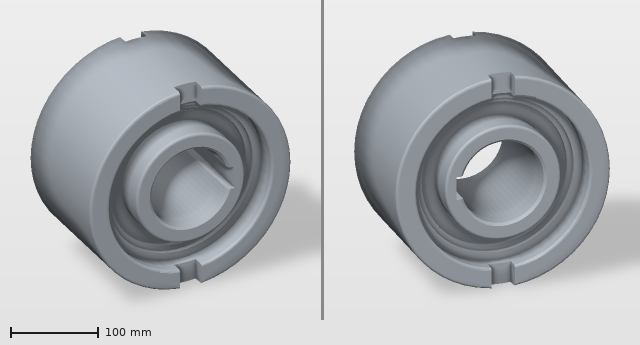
import cadquery as cq

width = 150.0
outer_radius = 130.0
ring_bore_radius = 104.8
hub_radius = 70.0
bore_radius = 50.0
edge_fillet = 3.5
bore_chamfer = 3.0

recess_steps = [
    (ring_bore_radius, 26.0),
    (94.6, 31.5),
    (88.1, 37.0),
    (82.5, 36.1),
]

slot_width = 28.0
slot_depth = 14.8
keyway_width = 28.0
keyway_reach = 56.7

half_width = width / 2


def cylinder(radius, start, length):
    """Solid cylinder about the X axis, starting at x = start."""
    return cq.Workplane("YZ", origin=(start, 0, 0)).circle(radius).extrude(length)


def tube(outer, inner):
    """Full-width plain tube about the X axis."""
    return cylinder(outer, -half_width, width).cut(cylinder(inner, -half_width, width))


def end_slots(end):
    """Radial slots cut through the ring, above and below, at one end (-1 or +1)."""
    center_x = end * (half_width - slot_depth / 2)
    bar = cq.Workplane("XY").box(slot_depth, slot_width, 2 * outer_radius)
    return bar.translate((center_x, 0, 0))


ring = tube(outer_radius, ring_bore_radius).faces("<X or >X").edges().fillet(edge_fillet)
for end in (-1, 1):
    ring = ring.cut(end_slots(end))

hub = cylinder(hub_radius, -half_width, width).faces("<X or >X").edges().fillet(edge_fillet)
hub = hub.cut(cylinder(bore_radius, -half_width, width))
hub = hub.faces("<X or >X").edges(cq.selectors.RadiusNthSelector(0)).chamfer(bore_chamfer)
keyway = cq.Workplane("XY").box(width, keyway_reach, keyway_width).translate((0, keyway_reach / 2, 0))
hub = hub.cut(keyway)

wall_overlap = 5.2
inner_radii = [radius for radius, _ in recess_steps[1:]] + [hub_radius - wall_overlap]
result = ring.union(hub)
for (radius, depth), inner_radius in zip(recess_steps, inner_radii):
    length = width - 2 * depth
    band_outer = radius + wall_overlap if radius == ring_bore_radius else radius
    band = cylinder(band_outer, -length / 2, length).cut(cylinder(inner_radius, -length / 2, length))
    result = result.union(band)